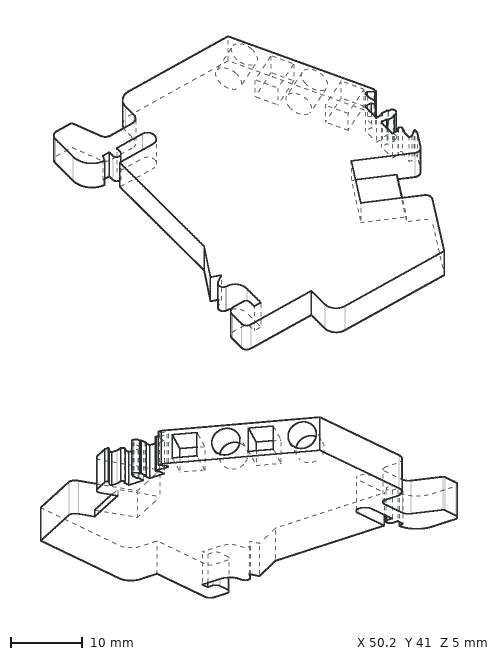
import cadquery as cq
import math

width = 50.2
height = 41.0
thickness = 5.0
half_width = width / 2

diagonal = math.sqrt(0.5)

eave_y = 30.7
roof_angle = math.radians(27.2)
body_bottom_y = 11.45
body_corner_radius = 2.0
ridge_half_width = half_width - (height - eave_y) / math.tan(roof_angle)

rail_y = 4.5
rail_block_left = -15.15
hook_right = 20.05

neck_left = -20.0
neck_right = -17.55
neck_radius = 1.15
foot_side_y = 3.6
foot_slope_end_y = 5.7
foot_corner_radius = 1.0
foot_edge_radius = 0.25
toe_radius = 3.3
toe_center_x = -20.0
toe_tip_y = 3.05
toe_lip_y = 3.4
nub_height = 1.25
nub_length = 1.45

wedge_start_x = 4.4
wedge_tip = (9.6, 1.75)
tooth_notch = (10.2, 3.2)
tooth_left = (10.95, 2.05)
tooth_bottom = (11.55, 1.75)
tooth_right = (12.25, 2.3)
relief_radius = 2.0
relief_end_x = 14.3

hook_left = 15.95
hook_slot_end = 17.55
hook_lip_y = 3.35
hook_lip_radius = 0.65
hook_toe_radius = 1.0
hook_heel_radius = 0.9

seat_floor_y = 38.1
seat_half_width = 3.15
latch_neck_y = 39.15
latch_tip = (2.8, 39.55)
latch_top = (3.15, 39.85)
groove_floor_y = 39.55
groove_inner = 4.1
groove_outer = 5.05
groove_side = (5.15, 40.0)
horn_tip = (4.5, 40.8)
pin_half_width = 0.55
pin_tip_radius = 0.5
pin_ear_half_width = 0.75
pin_ear_bottom_y = 39.1
pin_ear_top_y = 40.2

slot_width = 8.0
slot_depth = 9.95
slot_start = 10.8
slot_mouth_radius = 1.0
shelf_length = 6.45
shelf_thickness = 1.0

wire_hole_diameter = 4.0
tool_hole_side = 3.5
first_wire_hole = 2.5
first_tool_hole = 8.4
opening_pitch = 10.85
opening_count = 2
opening_depth = 5.0


def rounded_outline(corners):
    """Closed outline through (x, y, radius) corners; a radius of 0 leaves the corner sharp."""
    outline = None
    for index, (x, y, radius) in enumerate(corners):
        corner = cq.Vector(x, y)
        previous = cq.Vector(*corners[index - 1][:2])
        following = cq.Vector(*corners[(index + 1) % len(corners)][:2])
        to_previous = (previous - corner).normalized()
        to_following = (following - corner).normalized()
        half_angle = to_previous.getAngle(to_following) / 2
        setback = radius / math.tan(half_angle)
        start = corner + to_previous * setback
        end = corner + to_following * setback
        if outline is None:
            outline = cq.Workplane("XY").moveTo(start.x, start.y)
        elif (start - previous).Length > 0:
            outline = outline.lineTo(start.x, start.y)
        if radius > 0:
            bisector = (to_previous + to_following).normalized()
            middle = corner + bisector * (radius / math.sin(half_angle) - radius)
            outline = outline.threePointArc((middle.x, middle.y), (end.x, end.y))
    return outline.close()


def roof_point(side, along, depth):
    """Point `along` the roof from the eave and `depth` below it; side is -1 left, 1 right."""
    x = half_width - along * math.cos(roof_angle) - depth * math.sin(roof_angle)
    y = eave_y + along * math.sin(roof_angle) - depth * math.cos(roof_angle)
    return side * x, y


def make_body():
    return rounded_outline([
        (-half_width, body_bottom_y, body_corner_radius),
        (half_width, body_bottom_y, body_corner_radius),
        (half_width, eave_y, 0),
        (ridge_half_width, height, 0),
        (-ridge_half_width, height, 0),
        (-half_width, eave_y, 0),
    ]).extrude(thickness)


def make_spring_foot():
    """Neck and foot, with the concave rounding under the body and the nub that grips the rail."""
    toe_rise = toe_radius - toe_tip_y
    toe_tip_x = toe_center_x + math.sqrt(toe_radius**2 - toe_rise**2)
    toe_middle = toe_radius * diagonal
    foot = (
        cq.Workplane("XY")
        .moveTo(-half_width, 0)
        .lineTo(toe_center_x, 0)
        .threePointArc((toe_center_x + toe_middle, toe_radius - toe_middle), (toe_tip_x, toe_tip_y))
        .lineTo(neck_right, toe_lip_y)
        .lineTo(neck_right, body_bottom_y)
        .lineTo(neck_left, body_bottom_y)
        .lineTo(neck_left, foot_slope_end_y)
        .lineTo(-half_width, foot_side_y)
        .close()
        .extrude(thickness)
    )

    def round_edge(solid, x, y, radius):
        return solid.edges(cq.NearestToPointSelector((x, y, thickness / 2))).fillet(radius)

    foot = round_edge(foot, -half_width, 0, foot_corner_radius)
    foot = round_edge(foot, -half_width, foot_side_y, foot_edge_radius)
    foot = round_edge(foot, neck_left, foot_slope_end_y, neck_radius)
    nub_radius = nub_height / 2
    nub_center_x = neck_right + nub_length - nub_radius
    nub = (
        cq.Workplane("XY")
        .moveTo(neck_right, rail_y)
        .lineTo(nub_center_x, rail_y)
        .threePointArc((neck_right + nub_length, rail_y + nub_radius), (nub_center_x, rail_y + nub_height))
        .lineTo(neck_right, rail_y + nub_height)
        .close()
        .extrude(thickness)
    )
    return foot.union(nub)


def make_neck_rounding():
    """Concave corner fill between the neck and the underside of the body."""
    center = (neck_left - neck_radius, body_bottom_y - neck_radius)
    middle = neck_radius * diagonal
    return (
        cq.Workplane("XY")
        .moveTo(neck_left, body_bottom_y)
        .lineTo(center[0], body_bottom_y)
        .threePointArc((center[0] + middle, center[1] + middle), (neck_left, center[1]))
        .close()
        .extrude(thickness)
    )


def make_rail_block():
    """Block over the rail, with its wedge and tooth; it reaches into the body above."""
    relief_center_y = rail_y - relief_radius
    relief_middle = relief_radius * diagonal
    return (
        cq.Workplane("XY")
        .moveTo(neck_right, rail_y)
        .lineTo(wedge_start_x, rail_y)
        .lineTo(*wedge_tip)
        .lineTo(*tooth_notch)
        .lineTo(*tooth_left)
        .threePointArc(tooth_bottom, tooth_right)
        .lineTo(relief_end_x - relief_radius, relief_center_y)
        .threePointArc(
            (relief_end_x - relief_middle, relief_center_y + relief_middle),
            (relief_end_x, rail_y),
        )
        .lineTo(hook_right, rail_y)
        .lineTo(hook_right, eave_y)
        .lineTo(neck_right, eave_y)
        .close()
        .extrude(thickness)
    )


def make_spring_slot():
    """Round-topped slot that frees the neck from the rail block."""
    radius = (rail_block_left - neck_right) / 2
    return (
        cq.Workplane("XY")
        .moveTo(neck_right, 0)
        .lineTo(rail_block_left, 0)
        .lineTo(rail_block_left, body_bottom_y - radius)
        .threePointArc((neck_right + radius, body_bottom_y), (neck_right, body_bottom_y - radius))
        .close()
        .extrude(thickness)
    )


def make_hook():
    return rounded_outline([
        (hook_left, 0, hook_toe_radius),
        (hook_right, 0, hook_heel_radius),
        (hook_right, body_bottom_y, 0),
        (hook_slot_end, body_bottom_y, 0),
        (hook_slot_end, hook_lip_y, 0),
        (hook_left, hook_lip_y, hook_lip_radius),
    ]).extrude(thickness)


def make_marker_seat():
    """Undercut pocket in the ridge, mirrored about X = 0."""
    half = (
        cq.Workplane("XY")
        .moveTo(0, seat_floor_y)
        .lineTo(seat_half_width, seat_floor_y)
        .lineTo(seat_half_width, latch_neck_y)
        .threePointArc(latch_tip, latch_top)
        .lineTo(groove_inner, groove_floor_y)
        .lineTo(groove_outer, groove_floor_y)
        .lineTo(*groove_side)
        .lineTo(*horn_tip)
        .lineTo(horn_tip[0], height)
        .lineTo(0, height)
        .close()
        .extrude(thickness)
    )
    return half.union(half.mirror("YZ"))


def make_marker_pin():
    """Round-tipped pin in the middle of the seat, widened by an ear on each side."""
    pin = rounded_outline([
        (-pin_half_width, seat_floor_y, 0),
        (pin_half_width, seat_floor_y, 0),
        (pin_half_width, height, pin_tip_radius),
        (-pin_half_width, height, pin_tip_radius),
    ]).extrude(thickness)
    ears = (
        cq.Workplane("XY")
        .moveTo(-pin_ear_half_width, pin_ear_bottom_y)
        .lineTo(pin_ear_half_width, pin_ear_bottom_y)
        .lineTo(pin_ear_half_width, pin_ear_top_y)
        .lineTo(-pin_ear_half_width, pin_ear_top_y)
        .close()
        .extrude(thickness)
    )
    return pin.union(ears)


def cut_roof_slot(solid):
    """Cut the slot through, round its two mouth corners and put the shelf back."""
    slot_end = slot_start + slot_width

    def slot_block(top, bottom, block_height):
        corners = [
            roof_point(1, slot_start, bottom),
            roof_point(1, slot_end, bottom),
            roof_point(1, slot_end, top),
            roof_point(1, slot_start, top),
        ]
        return cq.Workplane("XY").polyline(corners).close().extrude(block_height)

    solid = solid.cut(slot_block(-slot_depth, slot_depth, thickness))
    for along in (slot_start, slot_end):
        mouth = (*roof_point(1, along, 0), thickness / 2)
        solid = solid.edges(cq.NearestToPointSelector(mouth)).fillet(slot_mouth_radius)
    return solid.union(slot_block(slot_depth - shelf_length, slot_depth, shelf_thickness))


def cut_roof_openings(solid):
    """Alternate round wire holes and square tool holes, sunk square to the left roof."""
    outward = (-math.sin(roof_angle), math.cos(roof_angle), 0)
    up_roof = (math.cos(roof_angle), math.sin(roof_angle), 0)

    def roof_plane(along):
        origin = (*roof_point(-1, along, 0), thickness / 2)
        return cq.Workplane(cq.Plane(origin=origin, xDir=up_roof, normal=outward))

    for index in range(opening_count):
        offset = index * opening_pitch
        wire_hole = roof_plane(first_wire_hole + offset).circle(wire_hole_diameter / 2)
        tool_hole = roof_plane(first_tool_hole + offset).rect(tool_hole_side, tool_hole_side)
        solid = solid.cut(wire_hole.extrude(-opening_depth))
        solid = solid.cut(tool_hole.extrude(-opening_depth))
    return solid


housing = make_body().union(make_rail_block()).cut(make_spring_slot())
housing = housing.union(make_spring_foot()).union(make_neck_rounding()).union(make_hook())
housing = housing.cut(make_marker_seat()).union(make_marker_pin())
housing = cut_roof_slot(housing)
result = cut_roof_openings(housing)